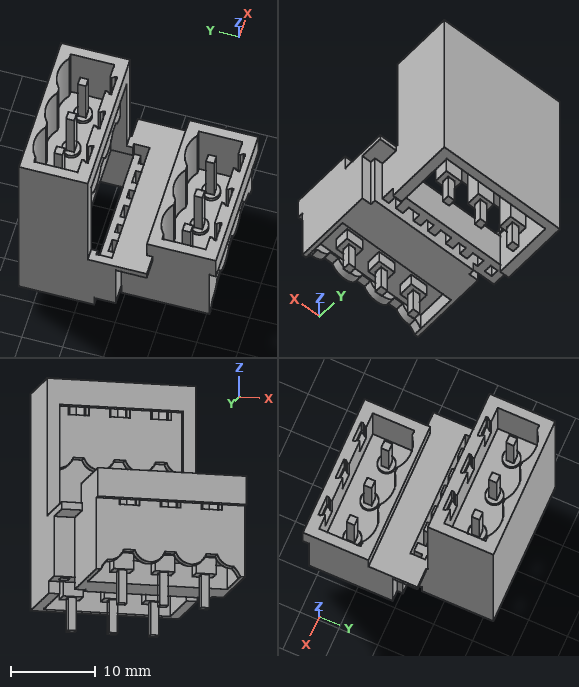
import cadquery as cq
import math


PITCH = 5.0
PIN_COUNT = 3
PIN_SIZE = 1.0
PIN_TAIL = 3.15
PIN_SINK = 0.82

HEADER_WIDTH = 18.0
HEADER_DEPTH = 8.45
HEADER_MIDDLE = HEADER_WIDTH / 2
ROW_SPACING = 3 * PITCH
ROW_SHIFT = PITCH / 2
TOWER_TOP = 26.22
BLOCK_TOP = 12.05
TOWER_FRONT = ROW_SPACING
TOWER_BACK = TOWER_FRONT + HEADER_DEPTH
TOTAL_WIDTH = HEADER_WIDTH + ROW_SHIFT
PIN_ROW = 4.6

CAVITY_WIDTH = 15.6
CAVITY_FRONT = 1.6
CAVITY_BACK = 6.93
CAVITY_DEPTH = 8.22
BUMP_HALF = 2.17
BUMP_RISE = 0.75
COLLAR_DIAMETER = 2.2
COLLAR_HEIGHT = 0.5

SLOT_DEPTH = 4.08
SLOT_NECK_HALF = 0.97
SLOT_BASE_HALF = 1.23
SLOT_NECK = 0.23
SLOT_FLARE_END = 0.55
FACE_INSET = 0.8

WALL_BACK = 1.9
NOTCH_HALF = 0.65
SCALLOP_RISE = 1.35
TOWER_SCALLOP = 15.62
BLOCK_SCALLOP = 1.2
CORNER_MID_HEIGHT = 0.68
CORNER_FOOT = 0.55
CORNER_MID = 0.95
CORNER_TOP = 1.38

WINDOW_WIDTH = 3 * PITCH
WINDOW_TOP = 23.1

HOLLOW_BACK = 1.1
INNER_WIDTH = 15.33
TOWER_HOLLOW_TOP = 7.87
BLOCK_HOLLOW_WIDTH = HEADER_WIDTH - 2 * CORNER_FOOT
BLOCK_HOLLOW_TOP = 2.82
BOSS_WIDTH = 2.4
BOSS_DEPTH = 1.95
BOSS_BOTTOM = 0.85

DECK_TOP = 9.57
DECK_BOTTOM = 8.7
DECK_FRONT = 7.75
DECK_BACK_RIGHT = 14.77
BRIDGE_FRONT = 11.57
BRIDGE_BACK = 14.2
NOTCH_HEIGHT = 1.47
BACK_WALL = 12.3
BLOCK_STEP = 8.6

OPENING_WIDTH = 16.0
COMB_TOP = 7.35
COMB_WALL_FRONT = 13.35
RIB_WIDTH = 1.12
RIB_OFFSET = 1.38


def box(x_range, y_range, z_range):
    """Box between two limits along each axis."""
    size = [high - low for low, high in (x_range, y_range, z_range)]
    corner = (x_range[0], y_range[0], z_range[0])
    return cq.Workplane("XY").box(*size, centered=False).translate(corner)


def around(middle, width):
    """Limits of a span centred on middle."""
    return (middle - width / 2, middle + width / 2)


def pin_places(left):
    """X of each pin in the header whose left side is at left."""
    first = left + HEADER_MIDDLE - PITCH * (PIN_COUNT - 1) / 2
    return [first + PITCH * i for i in range(PIN_COUNT)]


def plug_cavity(left, front, top):
    """Cavity with a bulged back wall, coding slots and rings left around the pins."""
    x_low, x_high = around(left + HEADER_MIDDLE, CAVITY_WIDTH)
    y_low = front + CAVITY_FRONT
    y_high = front + CAVITY_BACK
    floor = top - CAVITY_DEPTH
    outline = cq.Workplane("XY", origin=(0, 0, floor)).moveTo(x_low, y_low).lineTo(x_low, y_high)
    for x in pin_places(left):
        outline = outline.lineTo(x - BUMP_HALF, y_high)
        outline = outline.threePointArc((x, y_high + BUMP_RISE), (x + BUMP_HALF, y_high))
    cavity = outline.lineTo(x_high, y_high).lineTo(x_high, y_low).close().extrude(CAVITY_DEPTH)
    for x in pin_places(left):
        collar = cq.Workplane("XY", origin=(x, front + PIN_ROW, floor))
        cavity = cavity.cut(collar.circle(COLLAR_DIAMETER / 2).extrude(COLLAR_HEIGHT))
        cavity = cavity.union(coding_slot(x, y_low, top))
    return cavity


def coding_slot(x, y_mouth, top):
    """Dovetail slot that widens from the cavity towards the front."""
    half_outline = [
        (SLOT_NECK_HALF, 0),
        (SLOT_NECK_HALF, -SLOT_NECK),
        (SLOT_BASE_HALF, -SLOT_FLARE_END),
        (SLOT_BASE_HALF, FACE_INSET - CAVITY_FRONT),
    ]
    mirrored = [(-px, py) for px, py in reversed(half_outline)]
    sketch = cq.Workplane("XY", origin=(x, y_mouth, top - SLOT_DEPTH))
    return sketch.polyline(half_outline + mirrored).close().extrude(SLOT_DEPTH)


def scallops(outline, left, low):
    """Continue an outline through the notches and rounded teeth, from left to right."""
    high = low + SCALLOP_RISE
    places = pin_places(left)
    tooth = PITCH / 2 - NOTCH_HALF
    arc_radius = (tooth ** 2 + SCALLOP_RISE ** 2) / (2 * SCALLOP_RISE)
    half_rise = arc_radius - math.sqrt(arc_radius ** 2 - (tooth / 2) ** 2)
    shoulder = NOTCH_HALF + tooth / 2
    first = places[0]
    outline = outline.threePointArc((first - shoulder, low + half_rise), (first - NOTCH_HALF, high))
    outline = outline.lineTo(first + NOTCH_HALF, high)
    for x in places[1:]:
        outline = outline.threePointArc((x - PITCH / 2, low), (x - NOTCH_HALF, high))
        outline = outline.lineTo(x + NOTCH_HALF, high)
    last = places[-1]
    return outline.threePointArc((last + shoulder, low + half_rise), (last + PITCH / 2, low))


def tower_window():
    """Recess in the tower front: shallow above the scallops and deeper below them."""
    x_low, x_high = around(HEADER_MIDDLE, WINDOW_WIDTH)
    y_face = TOWER_FRONT + FACE_INSET
    window = box((x_low, x_high), (BRIDGE_BACK, y_face), (TOWER_HOLLOW_TOP, WINDOW_TOP))
    outline = cq.Workplane("XZ", origin=(0, TOWER_FRONT + WALL_BACK, 0))
    outline = outline.moveTo(x_low, TOWER_HOLLOW_TOP).lineTo(x_low, TOWER_SCALLOP)
    outline = scallops(outline, 0, TOWER_SCALLOP).lineTo(x_high, TOWER_HOLLOW_TOP)
    return window.union(outline.close().extrude(WALL_BACK - FACE_INSET))


def block_scallop_cut():
    """Opening under the scalloped front wall of the block."""
    left = ROW_SHIFT
    right = ROW_SHIFT + HEADER_WIDTH
    places = pin_places(left)
    outline = cq.Workplane("XZ", origin=(0, WALL_BACK, 0)).moveTo(left + CORNER_FOOT, 0)
    outline = outline.threePointArc((left + CORNER_MID, CORNER_MID_HEIGHT), (left + CORNER_TOP, BLOCK_SCALLOP))
    outline = outline.lineTo(places[0] - PITCH / 2, BLOCK_SCALLOP)
    outline = scallops(outline, left, BLOCK_SCALLOP).lineTo(right - CORNER_TOP, BLOCK_SCALLOP)
    outline = outline.threePointArc((right - CORNER_MID, CORNER_MID_HEIGHT), (right - CORNER_FOOT, 0))
    return outline.close().extrude(WALL_BACK)


def bosses(left, front, ceiling):
    """Square bosses that hang from the ceiling of a hollow and hold the pins."""
    y_range = around(front + PIN_ROW, BOSS_DEPTH)
    solid = cq.Workplane("XY")
    for x in pin_places(left):
        solid = solid.union(box(around(x, BOSS_WIDTH), y_range, (BOSS_BOTTOM, ceiling)))
    return solid


def comb():
    """Low wall under the deck opening, tied to the block by pairs of ribs."""
    z_range = (NOTCH_HEIGHT, COMB_TOP)
    solid = box(around(HEADER_MIDDLE, OPENING_WIDTH), (COMB_WALL_FRONT, BRIDGE_BACK), z_range)
    for x in pin_places(0):
        for offset in (-RIB_OFFSET, RIB_OFFSET):
            rib = box(around(x + offset, RIB_WIDTH), (BACK_WALL, COMB_WALL_FRONT), z_range)
            solid = solid.union(rib)
    return solid


def make_housing(pins):
    """Both headers and the deck between them, with a hole for each pin."""
    block_x = (ROW_SHIFT, TOTAL_WIDTH)

    body = box((0, HEADER_WIDTH), (TOWER_FRONT, TOWER_BACK), (0, TOWER_TOP))
    body = body.union(box((0, HEADER_WIDTH), (BRIDGE_BACK, TOWER_FRONT), (0, DECK_TOP)))
    body = body.union(box((0, HEADER_WIDTH), (BRIDGE_FRONT, BRIDGE_BACK), (NOTCH_HEIGHT, DECK_TOP)))
    body = body.union(box((0, TOTAL_WIDTH), (DECK_FRONT, DECK_BACK_RIGHT), (DECK_BOTTOM, DECK_TOP)))
    body = body.union(box(block_x, (FACE_INSET, BRIDGE_FRONT), (0, DECK_TOP)))
    back_wall_x = around(ROW_SHIFT + HEADER_MIDDLE, INNER_WIDTH)
    body = body.union(box(back_wall_x, (BRIDGE_FRONT, BACK_WALL), (0, DECK_TOP)))
    body = body.union(box(block_x, (0, HEADER_DEPTH), (BLOCK_STEP, BLOCK_TOP)))

    tower_hollow_x = around(HEADER_MIDDLE, INNER_WIDTH)
    body = body.cut(box(tower_hollow_x, (BRIDGE_BACK, TOWER_BACK - HOLLOW_BACK), (0, TOWER_HOLLOW_TOP)))
    block_hollow_x = around(ROW_SHIFT + HEADER_MIDDLE, BLOCK_HOLLOW_WIDTH)
    block_hollow_y = (WALL_BACK, HEADER_DEPTH - HOLLOW_BACK)
    body = body.cut(box(block_hollow_x, block_hollow_y, (0, BLOCK_HOLLOW_TOP)))
    body = body.cut(block_scallop_cut())
    body = body.cut(tower_window())

    opening_x = around(HEADER_MIDDLE, OPENING_WIDTH)
    body = body.cut(box(opening_x, (BACK_WALL, BRIDGE_BACK), (0, DECK_TOP)))
    body = body.union(comb())

    body = body.union(bosses(0, TOWER_FRONT, TOWER_HOLLOW_TOP))
    body = body.union(bosses(ROW_SHIFT, 0, BLOCK_HOLLOW_TOP))
    body = body.cut(plug_cavity(0, TOWER_FRONT, TOWER_TOP))
    body = body.cut(plug_cavity(ROW_SHIFT, 0, BLOCK_TOP))
    for pin in pins:
        body = body.cut(pin)
    return body


def make_pin(x, front, top):
    """Square contact pin through a header."""
    y_range = around(front + PIN_ROW, PIN_SIZE)
    return box(around(x, PIN_SIZE), y_range, (-PIN_TAIL, top - PIN_SINK))


def make_pin_row(left, front, top):
    """All the pins of one header."""
    return [make_pin(x, front, top) for x in pin_places(left)]


tower_pins = make_pin_row(0, TOWER_FRONT, TOWER_TOP)
block_pins = make_pin_row(ROW_SHIFT, 0, BLOCK_TOP)
contact_pins = tower_pins + block_pins
housing = make_housing(contact_pins)

result = cq.Compound.makeCompound([housing.solids().val(), *[pin.val() for pin in contact_pins]])